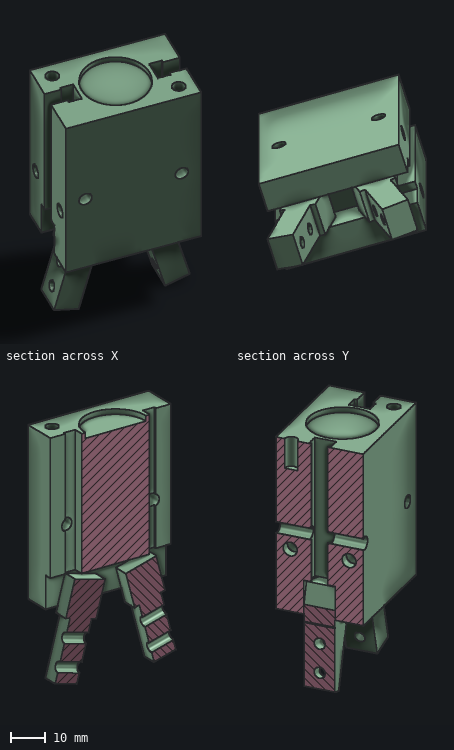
import cadquery as cq
import math

total_height = 78.8
housing_width = 27.6
housing_depth = 42.1
housing_height = 55.1
housing_bottom = total_height - housing_height

finger_width = 9.85
pocket_height = 10.8
pocket_top = housing_bottom + pocket_height

slot_mouth_width = 5.05
slot_mouth_depth = 5.3
slot_head_width = 6.7
slot_depth = 9.2

recess_diameter = 21.0
recess_depth = 1.7

top_hole_diameter = 4.0
top_hole_depth = 9.45
top_hole_x = 9.0
top_hole_y = 16.0
cross_hole_diameter = 4.0
cross_hole_y = 15.0
cross_hole_height = 26.1
front_hole_diameter = 4.25
front_hole_depth = 7.9
front_hole_x = 9.3
front_hole_height = 20.0

opening_angle = 15.0
outer_span = 42.2
tip_thickness = 7.95
tip_length = 20.0
outer_shoulder = 1.5
inner_shoulder = 1.65
finger_length = 32.15
finger_hole_diameter = 3.3
finger_hole_spacing = 9.0
first_hole_from_tip = 5.1


def cut_slots(body):
    """Cut a T-slot from the top face to the finger pocket on both Y faces."""
    slot_height = total_height - pocket_top
    for side in (-1, 1):
        face_y = side * housing_depth / 2
        for width, near, far in (
            (slot_mouth_width, 0, slot_mouth_depth),
            (slot_head_width, slot_mouth_depth, slot_depth),
        ):
            slot = (
                cq.Workplane("XY", origin=(0, face_y - side * (near + far) / 2, pocket_top))
                .rect(width, far - near)
                .extrude(slot_height)
            )
            body = body.cut(slot)
    return body


def cut_mounting_holes(body):
    """Cut the blind top and front holes and the cross holes through X."""
    top_holes = (
        cq.Workplane("XY", origin=(0, 0, total_height))
        .pushPoints([(top_hole_x, top_hole_y), (-top_hole_x, -top_hole_y)])
        .circle(top_hole_diameter / 2)
        .extrude(-top_hole_depth)
    )
    front_holes = (
        cq.Workplane("XZ", origin=(0, -housing_depth / 2, housing_bottom + front_hole_height))
        .pushPoints([(-front_hole_x, 0), (front_hole_x, 0)])
        .circle(front_hole_diameter / 2)
        .extrude(-front_hole_depth)
    )
    cross_holes = (
        cq.Workplane("YZ", origin=(0, 0, housing_bottom + cross_hole_height))
        .pushPoints([(-cross_hole_y, 0), (cross_hole_y, 0)])
        .circle(cross_hole_diameter / 2)
        .extrude(housing_width / 2, both=True)
    )
    return body.cut(top_holes).cut(front_holes).cut(cross_holes)


def make_housing():
    body = (
        cq.Workplane("XY", origin=(0, 0, housing_bottom))
        .rect(housing_width, housing_depth)
        .extrude(housing_height)
    )
    pocket = (
        cq.Workplane("XY", origin=(0, 0, housing_bottom))
        .rect(finger_width, housing_depth)
        .extrude(pocket_height)
    )
    recess = (
        cq.Workplane("XY", origin=(0, 0, total_height))
        .circle(recess_diameter / 2)
        .extrude(-recess_depth)
    )
    return cut_mounting_holes(cut_slots(body.cut(pocket).cut(recess)))


def make_front_finger():
    """The finger on the -Y side; its outer tip corner is the pivot of the swing."""
    inner_face = tip_thickness + inner_shoulder
    blank = (
        cq.Workplane("YZ")
        .polyline([
            (0, 0),
            (tip_thickness, 0),
            (tip_thickness, tip_length),
            (inner_face, tip_length),
            (inner_face, finger_length),
            (-outer_shoulder, finger_length),
            (-outer_shoulder, tip_length),
            (0, tip_length),
        ])
        .close()
        .extrude(finger_width / 2, both=True)
    )
    holes = (
        cq.Workplane("XZ")
        .pushPoints([(0, first_hole_from_tip + i * finger_hole_spacing) for i in range(2)])
        .circle(finger_hole_diameter / 2)
        .extrude(-tip_thickness)
    )
    tip_rise = tip_thickness * math.sin(math.radians(opening_angle))
    return (
        blank.cut(holes)
        .rotate((0, 0, 0), (1, 0, 0), -opening_angle)
        .translate((0, -outer_span / 2, tip_rise))
    )


def make_finger(half_turn):
    """A finger on the -Y side, or turned about Z to the +Y side."""
    return make_front_finger().rotate((0, 0, 0), (0, 0, 1), half_turn)


housing = make_housing()
fingers = [make_finger(half_turn) for half_turn in (0, 180)]

result = cq.Compound.makeCompound([housing.val(), *[finger.val() for finger in fingers]])